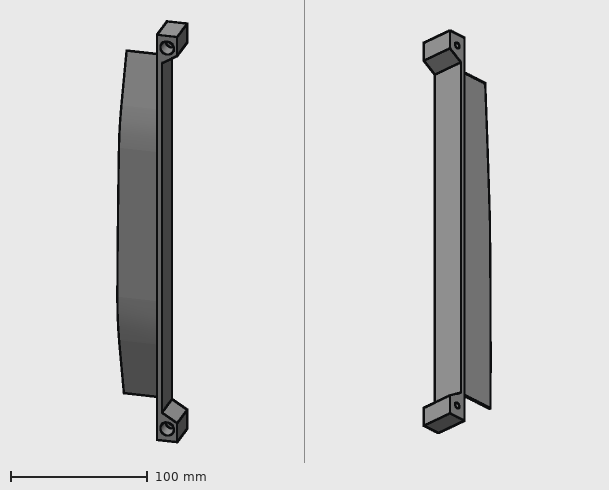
import cadquery as cq

length = 321.5
bar_width = 26.7
bar_thickness = 4.0
lug_depth = 15.5
lug_height = 15.0
lug_root = 22.2

hole_diameter = 4.5
bore_diameter = 10.3
bore_depth = 13.5
hole_inset = 9.5

fin_reach = 31.5
fin_bottom = 24.8
fin_top = 297.5
front_y = 4.0
back_y = 22.8
back_bend_z = 180.0
top_tip_back_y = 20.0
top_tip_front_y = 19.3
bottom_tip_y = 21.5

lower_ramp = (13.0, 57.2)
lower_bend = (9.0, 71.7)
flat_start_z = 108.3
flat_end_z = 226.5
upper_bend = (8.5, 258.5)
upper_ramp_end = (18.0, 293.0)

face_crest_z = 58.0
face_radius = 10446.5


def make_bar():
    outline = [
        (0, 0),
        (lug_depth, 0),
        (lug_depth, lug_height),
        (bar_thickness, lug_root),
        (bar_thickness, length - lug_root),
        (lug_depth, length - lug_height),
        (lug_depth, length),
        (0, length),
    ]
    return cq.Workplane("XZ").polyline(outline).close().extrude(-bar_width)


def make_fin():
    blank = (
        cq.Workplane("YZ")
        .moveTo(back_y, fin_bottom)
        .lineTo(bottom_tip_y, fin_bottom)
        .lineTo(*lower_ramp)
        .tangentArcPoint(lower_bend, relative=False)
        .tangentArcPoint((front_y, flat_start_z), relative=False)
        .lineTo(front_y, flat_end_z)
        .tangentArcPoint(upper_bend, relative=False)
        .lineTo(*upper_ramp_end)
        .lineTo(top_tip_front_y, fin_top)
        .lineTo(top_tip_back_y, fin_top)
        .lineTo(back_y, back_bend_z)
        .close()
        .extrude(-fin_reach)
    )
    face_cylinder = (
        cq.Workplane("XZ")
        .center(face_radius - fin_reach, face_crest_z)
        .circle(face_radius)
        .extrude(-bar_width)
    )
    return blank.intersect(face_cylinder)


def make_screw_hole(z):
    front = cq.Workplane("XZ").center(lug_depth / 2, z)
    through = front.circle(hole_diameter / 2).extrude(-bar_width)
    bore = front.circle(bore_diameter / 2).extrude(-bore_depth)
    return through.union(bore)


result = make_bar().union(make_fin())
for hole_z in (hole_inset, length - hole_inset):
    result = result.cut(make_screw_hole(hole_z))